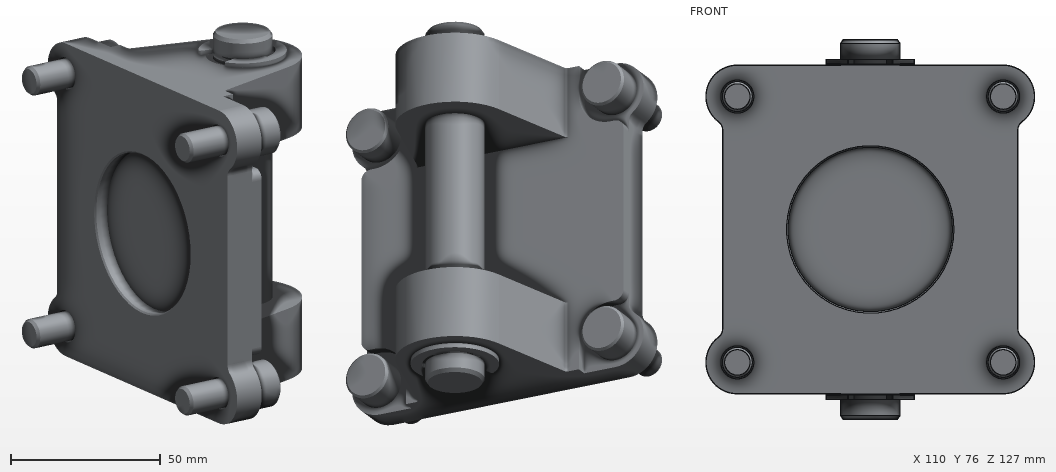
import cadquery as cq
import math


BODY_WIDTH = 98.8
PLATE_HEIGHT = 110.0
PLATE_THICKNESS = 14.0
EAR_RADIUS = 10.5
EAR_THICKNESS = 10.0
EAR_BLEND_RADIUS = 3.4
POCKET_RADIUS = 11.8
POCKET_EDGE_RADIUS = 3.3
SCREW_Z = PLATE_HEIGHT / 2 - EAR_RADIUS
SCREW_X = SCREW_Z
BORE_DIAMETER = 55.0
BORE_DEPTH = 5.0
BORE_CHAMFER = 0.5

LUG_RADIUS = 20.0
LUG_WIDTH = 25.0
LUG_FLANK_ANGLE = 15.0
LUG_BASE_FILLET = 1.0
PIN_Y = 41.0
LUG_RECESS_FLOOR_DIAMETER = 23.4
LUG_RECESS_DEPTH = 0.8

PIN_LENGTH = 127.0
PIN_DIAMETER = 20.0
PIN_CHAMFER_LENGTH = 1.3
PIN_CHAMFER_WIDTH = 0.9
GROOVE_DIAMETER = 15.0

CLIP_DIAMETER = 29.6
CLIP_THICKNESS = 1.5
CLIP_GAP = 0.4
CLIP_RELIEF_DIAMETER = 22.0
CLIP_RELIEF_START = 12.0
CLIP_RELIEF_END = 75.0
CLIP_MOUTH_WIDTH = 10.9
CLIP_MOUTH_FLARED_WIDTH = 14.5
CLIP_LEAD_IN_Y = -12.2

SHANK_DIAMETER = 10.0
SHANK_PROTRUSION = 15.0
SHANK_CHAMFER_LENGTH = 1.0
SHANK_CHAMFER_WIDTH = 0.8
SCREW_HOLE_DIAMETER = 11.0
HEAD_DIAMETER = 16.0
HEAD_HEIGHT = 10.0
HEAD_CHAMFER = 0.8

SCREW_POSITIONS = [(sx * SCREW_X, sz * SCREW_Z) for sx in (-1, 1) for sz in (-1, 1)]


def cylinder_along_y(x, z, radius, y_start, y_end):
    """Round bar parallel to Y between two Y levels."""
    bar = cq.Workplane("XZ", origin=(x, y_start, z)).circle(radius)
    return bar.extrude(y_start - y_end)


def cylinder_on_pin_axis(diameter, z_start, z_end):
    """Round bar on the pin axis between two Z levels."""
    bar = cq.Workplane("XY", origin=(0, PIN_Y, z_start)).circle(diameter / 2)
    return bar.extrude(z_end - z_start)


def polar(radius, degrees):
    """Point at a radius and an angle from +X."""
    angle = math.radians(degrees)
    return (radius * math.cos(angle), radius * math.sin(angle))


def box_between(x_range, y_range, z_range):
    """Axis-aligned box given by its limits."""
    size = [end - start for start, end in (x_range, y_range, z_range)]
    corner = (x_range[0], y_range[0], z_range[0])
    return cq.Workplane("XY", origin=corner).box(*size, centered=False)


def make_plate():
    half_width = BODY_WIDTH / 2
    half_height = PLATE_HEIGHT / 2
    thickness = (0, PLATE_THICKNESS)
    plate = box_between((-half_width, half_width), thickness, (-SCREW_Z, SCREW_Z))
    plate = plate.union(box_between((-SCREW_X, SCREW_X), thickness, (-half_height, half_height)))
    for x, z in SCREW_POSITIONS:
        plate = plate.cut(make_head_pocket(x, z))
    for x, z in SCREW_POSITIONS:
        plate = plate.union(make_ear(x, z))
        plate = plate.cut(cylinder_along_y(x, z, SCREW_HOLE_DIAMETER / 2, 0, EAR_THICKNESS))
    return plate.cut(make_bore())


def mirrored_into_corner(point, x, z):
    """Carry an XZ point of the +X, +Z corner into the corner that holds (x, z)."""
    return (math.copysign(1, x) * point[0], math.copysign(1, z) * point[1])


def make_head_pocket(x, z):
    """Corner pocket that clears a screw head and rounds over into the plate side."""
    side = BODY_WIDTH / 2
    top = PLATE_HEIGHT / 2
    inner_x = SCREW_X - POCKET_RADIUS
    bottom = SCREW_Z - POCKET_RADIUS
    diagonal = math.sqrt(0.5)
    arc_middle = (SCREW_X - POCKET_RADIUS * diagonal, SCREW_Z - POCKET_RADIUS * diagonal)
    edge_middle = (
        side - POCKET_EDGE_RADIUS * (1 - diagonal),
        bottom - POCKET_EDGE_RADIUS * (1 - diagonal),
    )

    def place(point):
        return mirrored_into_corner(point, x, z)

    outline = (
        cq.Workplane("XZ", origin=(0, EAR_THICKNESS, 0))
        .moveTo(*place((inner_x, top)))
        .lineTo(*place((inner_x, SCREW_Z)))
        .threePointArc(place(arc_middle), place((SCREW_X, bottom)))
        .lineTo(*place((side - POCKET_EDGE_RADIUS, bottom)))
        .threePointArc(place(edge_middle), place((side, bottom - POCKET_EDGE_RADIUS)))
        .lineTo(*place((side, top)))
        .close()
    )
    return outline.extrude(EAR_THICKNESS - PLATE_THICKNESS)


def make_ear(x, z):
    """Round ear with a concave blend into the plate side and a flat outer edge."""
    half_width = BODY_WIDTH / 2
    blend_x = half_width + EAR_BLEND_RADIUS
    centre_gap = EAR_RADIUS + EAR_BLEND_RADIUS
    blend_z = SCREW_Z - math.sqrt(centre_gap**2 - (blend_x - SCREW_X) ** 2)
    share = EAR_RADIUS / centre_gap
    touch = (SCREW_X + share * (blend_x - SCREW_X), SCREW_Z + share * (blend_z - SCREW_Z))
    toward_corner = math.atan2(touch[1] - blend_z, touch[0] - blend_x)
    middle_angle = (toward_corner + math.pi) / 2
    blend_middle = (
        blend_x + EAR_BLEND_RADIUS * math.cos(middle_angle),
        blend_z + EAR_BLEND_RADIUS * math.sin(middle_angle),
    )
    top = SCREW_Z + EAR_RADIUS

    def place(point):
        return mirrored_into_corner(point, x, z)

    outline = (
        cq.Workplane("XZ")
        .moveTo(*place((SCREW_X, top)))
        .threePointArc(place((SCREW_X + EAR_RADIUS, SCREW_Z)), place(touch))
        .threePointArc(place(blend_middle), place((half_width, blend_z)))
        .lineTo(*place((SCREW_X, blend_z)))
        .close()
    )
    return outline.extrude(-EAR_THICKNESS)


def make_bore():
    """Blind bore in the front face, with a chamfered rim."""
    radius = BORE_DIAMETER / 2
    profile = [
        (0, 0),
        (radius + BORE_CHAMFER, 0),
        (radius, BORE_CHAMFER),
        (radius, BORE_DEPTH),
        (0, BORE_DEPTH),
    ]
    return cq.Workplane("XY").polyline(profile).close().revolve(360, (0, 0), (0, 1))


def make_lug(z_start):
    """Rounded, tapered lug with a small fillet at its foot."""
    slope = math.radians(LUG_FLANK_ANGLE)
    tangent_x = LUG_RADIUS * math.cos(slope)
    tangent_y = PIN_Y + LUG_RADIUS * math.sin(slope)
    foot_x = tangent_x + (tangent_y - PLATE_THICKNESS) * math.tan(slope)
    setback = LUG_BASE_FILLET * math.tan((math.pi / 2 - slope) / 2)
    flank_x = foot_x - setback * math.sin(slope)
    flank_y = PLATE_THICKNESS + setback * math.cos(slope)
    toe_x = foot_x + setback
    flank_normal = math.pi + slope
    straight_down = 1.5 * math.pi
    middle_angle = (flank_normal + straight_down) / 2
    middle_x = toe_x + LUG_BASE_FILLET * math.cos(middle_angle)
    middle_y = PLATE_THICKNESS + LUG_BASE_FILLET * (1 + math.sin(middle_angle))
    outline = (
        cq.Workplane("XY", origin=(0, 0, z_start))
        .moveTo(-tangent_x, tangent_y)
        .threePointArc((0, PIN_Y + LUG_RADIUS), (tangent_x, tangent_y))
        .lineTo(flank_x, flank_y)
        .threePointArc((middle_x, middle_y), (toe_x, PLATE_THICKNESS))
        .lineTo(foot_x, PLATE_THICKNESS)
        .lineTo(foot_x, EAR_THICKNESS)
        .lineTo(-foot_x, EAR_THICKNESS)
        .lineTo(-foot_x, PLATE_THICKNESS)
        .lineTo(-toe_x, PLATE_THICKNESS)
        .threePointArc((-middle_x, middle_y), (-flank_x, flank_y))
        .close()
    )
    return outline.extrude(LUG_WIDTH)


def make_lug_recess():
    """Conical recess around the pin hole in the top lug face."""
    floor_radius = LUG_RECESS_FLOOR_DIAMETER / 2
    return (
        cq.Workplane("XY", origin=(0, PIN_Y, PLATE_HEIGHT / 2 - LUG_RECESS_DEPTH))
        .circle(floor_radius)
        .workplane(offset=LUG_RECESS_DEPTH)
        .circle(floor_radius + LUG_RECESS_DEPTH)
        .loft()
    )


def make_bracket():
    half_height = PLATE_HEIGHT / 2
    recess = make_lug_recess()
    bracket = make_plate()
    bracket = bracket.union(make_lug(half_height - LUG_WIDTH))
    bracket = bracket.union(make_lug(-half_height))
    bracket = bracket.cut(cylinder_on_pin_axis(PIN_DIAMETER, -half_height, half_height))
    return bracket.cut(recess).cut(recess.mirror("XY"))


def make_pin():
    """Pin with chamfered ends and a groove for each clip."""
    radius = PIN_DIAMETER / 2
    half_length = PIN_LENGTH / 2
    groove_start = PLATE_HEIGHT / 2 + CLIP_GAP
    groove_end = groove_start + CLIP_THICKNESS
    upper_side = [
        (radius, groove_start),
        (GROOVE_DIAMETER / 2, groove_start),
        (GROOVE_DIAMETER / 2, groove_end),
        (radius, groove_end),
        (radius, half_length - PIN_CHAMFER_LENGTH),
        (radius - PIN_CHAMFER_WIDTH, half_length),
        (0, half_length),
    ]
    lower_side = [(r, -z) for r, z in reversed(upper_side)]
    profile = cq.Workplane("XZ", origin=(0, PIN_Y, 0)).polyline(lower_side + upper_side).close()
    return profile.revolve(360, (0, 0), (0, 1))


def make_clip_relief(start, end):
    """Sector between the pin groove and the relief diameter."""
    inner = GROOVE_DIAMETER / 2
    outer = CLIP_RELIEF_DIAMETER / 2
    middle = (start + end) / 2
    return (
        cq.Workplane("XY")
        .moveTo(*polar(inner, start))
        .lineTo(*polar(outer, start))
        .threePointArc(polar(outer, middle), polar(outer, end))
        .lineTo(*polar(inner, end))
        .threePointArc(polar(inner, middle), polar(inner, start))
        .close()
        .extrude(CLIP_THICKNESS)
    )


def make_clip(z_start):
    """E-shaped clip whose mouth opens toward the plate."""
    clip = cq.Workplane("XY").circle(CLIP_DIAMETER / 2).circle(GROOVE_DIAMETER / 2).extrude(CLIP_THICKNESS)
    clip = clip.cut(make_clip_relief(CLIP_RELIEF_START, CLIP_RELIEF_END))
    clip = clip.cut(make_clip_relief(180 - CLIP_RELIEF_END, 180 - CLIP_RELIEF_START))
    inner_half = CLIP_MOUTH_WIDTH / 2
    flared_half = CLIP_MOUTH_FLARED_WIDTH / 2
    inner_y = -math.sqrt((GROOVE_DIAMETER / 2) ** 2 - inner_half**2)
    outer_y = -CLIP_DIAMETER / 2
    lead_in_half = flared_half + CLIP_LEAD_IN_Y - outer_y
    right_side = [
        (inner_half, 0),
        (inner_half, inner_y),
        (flared_half, CLIP_LEAD_IN_Y),
        (lead_in_half, outer_y),
    ]
    left_side = [(-x, y) for x, y in reversed(right_side)]
    mouth = cq.Workplane("XY").polyline(right_side + left_side).close()
    clip = clip.cut(mouth.extrude(CLIP_THICKNESS))
    return clip.translate((0, PIN_Y, z_start))


def make_screw(x, z):
    """Cap screw whose head rests on the back of an ear."""
    shank_radius = SHANK_DIAMETER / 2
    head_radius = HEAD_DIAMETER / 2
    head_top = EAR_THICKNESS + HEAD_HEIGHT
    profile = [
        (0, -SHANK_PROTRUSION),
        (shank_radius - SHANK_CHAMFER_WIDTH, -SHANK_PROTRUSION),
        (shank_radius, -SHANK_PROTRUSION + SHANK_CHAMFER_LENGTH),
        (shank_radius, EAR_THICKNESS),
        (head_radius, EAR_THICKNESS),
        (head_radius, head_top - HEAD_CHAMFER),
        (head_radius - HEAD_CHAMFER, head_top),
        (0, head_top),
    ]
    outline = cq.Workplane("XY", origin=(x, 0, z)).polyline(profile).close()
    return outline.revolve(360, (0, 0), (0, 1))


bracket = make_bracket()
pin = make_pin()
CLIP_Z = PLATE_HEIGHT / 2 + CLIP_GAP
clips = [make_clip(z_start) for z_start in (CLIP_Z, -CLIP_Z - CLIP_THICKNESS)]
screws = [make_screw(x, z) for x, z in SCREW_POSITIONS]

bodies = [bracket, pin] + clips + screws
result = cq.Compound.makeCompound([body.val() for body in bodies])